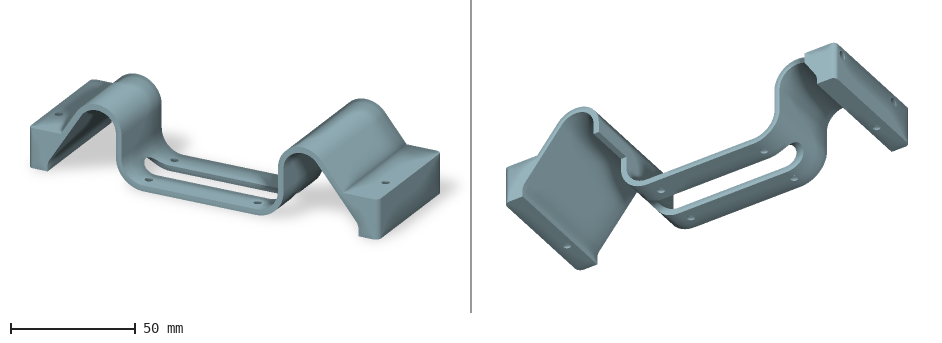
import cadquery as cq
import math

length = 158.1
width = 55.0
height = 33.7
wall = 2.5

block_height = 17.5
left_block_length = 14.5
right_block_start = 142.1
left_foot_x = 8.7
right_foot_x = 149.1
foot_radius = 5.0
left_corner_radius = 2.0
right_corner_radius = 2.5

strip_width = 34.8
hump_radius = 11.0
hump_inner_radius = hump_radius - wall
hump_z = height - hump_radius
left_hump_x = 31.0
right_hump_x = 123.8
bend_radius = 12.5
bend_inner_radius = bend_radius - wall

hole_diameter = 3.3
hole_line_y = 17.2
block_hole_xs = (4.7, 152.4)
floor_hole_xs = (51.2, 100.4)
floor_hole_offset = 11.0
channel_radius = 5.8
channel_axis_z = 0.5
side_hole_diameter = 4.0
side_hole_z = 13.8
side_hole_ys = (11.9, 49.6)
side_hole_depth = 9.5


def half_band(hump_x, block_x, foot_x, end_x, middle_x, side):
    """One half of the bent profile; side is -1 for the left half, 1 for the right."""
    run = abs(block_x - hump_x)
    rise = hump_z - block_height
    slope = math.atan2(rise, run) + math.asin(hump_radius / math.hypot(run, rise))

    def on_hump(radius, angle):
        """Point on a hump circle; the angle is measured up from the block side."""
        return (hump_x + side * radius * math.cos(angle), hump_z + radius * math.sin(angle))

    def on_bend(radius, angle):
        """Point on the floor bend; the angle is measured down from the upright wall."""
        return (bend_x + side * radius * math.cos(angle), bend_radius - radius * math.sin(angle))

    tangent_angle = math.pi / 2 - slope
    crown = math.pi / 2
    bend_x = hump_x - side * (hump_inner_radius + bend_radius)

    inner_start = on_hump(hump_inner_radius, tangent_angle)
    corner_z = inner_start[1] - abs(foot_x - inner_start[0]) * math.tan(slope)
    tangent_length = foot_radius * math.tan(tangent_angle / 2)
    arc_center_x = foot_x - side * foot_radius
    arc_center_z = corner_z - tangent_length

    def on_foot(angle):
        return (
            arc_center_x + side * foot_radius * math.cos(angle),
            arc_center_z + foot_radius * math.sin(angle),
        )

    profile = (
        cq.Workplane("XZ")
        .moveTo(middle_x, 0)
        .lineTo(bend_x, 0)
        .threePointArc(on_bend(bend_radius, math.pi / 4), on_bend(bend_radius, 0))
        .lineTo(*on_hump(hump_inner_radius, math.pi))
        .threePointArc(on_hump(hump_inner_radius, crown), inner_start)
        .lineTo(*on_foot(tangent_angle))
        .threePointArc(on_foot(tangent_angle / 2), on_foot(0))
        .lineTo(foot_x, 0)
        .lineTo(end_x, 0)
        .lineTo(end_x, block_height)
        .lineTo(block_x, block_height)
        .lineTo(*on_hump(hump_radius, tangent_angle))
        .threePointArc(on_hump(hump_radius, crown), on_hump(hump_radius, math.pi))
        .lineTo(*on_bend(bend_inner_radius, 0))
        .threePointArc(on_bend(bend_inner_radius, math.pi / 4), on_bend(bend_inner_radius, math.pi / 2))
        .lineTo(middle_x, wall)
        .close()
    )
    return profile.extrude(-width)


def vertical_holes(points, depth):
    return cq.Workplane("XY").pushPoints(points).circle(hole_diameter / 2).extrude(depth)


def rear_clearance(x_start, x_end, z_end):
    """Box of space behind the narrow strip, up to z_end."""
    size = (x_end - x_start, width - strip_width, z_end)
    return cq.Workplane("XY").box(*size, centered=False).translate((x_start, strip_width, 0))


middle_x = (left_hump_x + right_hump_x) / 2
left_half = half_band(left_hump_x, left_block_length, left_foot_x, 0, middle_x, -1)
right_half = half_band(right_hump_x, right_block_start, right_foot_x, length, middle_x, 1)
body = left_half.union(right_half)

body = body.faces("<X").edges("|Z").fillet(left_corner_radius)
body = body.faces(">X").edges("|Z").fillet(right_corner_radius)

body = body.cut(rear_clearance(left_block_length, middle_x, height))
body = body.cut(rear_clearance(middle_x, right_hump_x, block_height))

block_points = [(x, hole_line_y) for x in block_hole_xs]
floor_points = [
    (x, hole_line_y + side * floor_hole_offset) for x in floor_hole_xs for side in (-1, 1)
]
body = body.cut(vertical_holes(block_points, block_height))
body = body.cut(vertical_holes(floor_points, bend_radius))

channel = (
    cq.Workplane("YZ", origin=(left_hump_x, hole_line_y, channel_axis_z))
    .circle(channel_radius)
    .extrude(right_hump_x - left_hump_x)
)
body = body.cut(channel)

side_holes = (
    cq.Workplane("YZ")
    .pushPoints([(y, side_hole_z) for y in side_hole_ys])
    .circle(side_hole_diameter / 2)
    .extrude(side_hole_depth)
)
result = body.cut(side_holes)